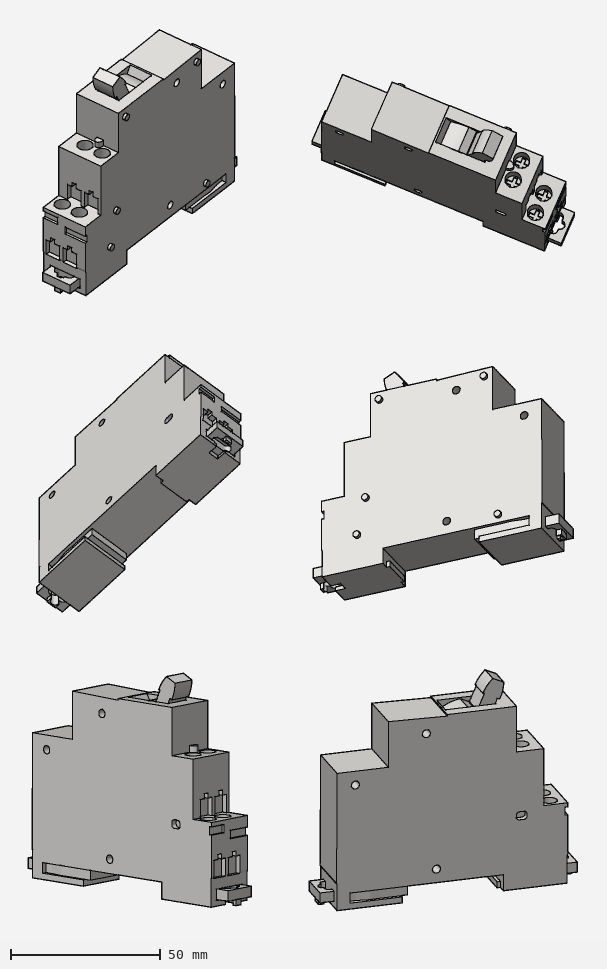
import cadquery as cq


width = 17.8
shelf_top = 49.35
roof_top = 65.7
roof_drop = 0.5
roof_seam_y = 1.5
tower_back_y = 22.3
tower_front_y = -22.8
back_y = 40.3
back_bulge_y = 40.5
upper_face_y = -32.4
lower_shelf_top = 28.9
lower_face_y = -40.8
base_face_y = -40.6
ledge_bottom = 9.6
ledge_top = 10.6
rail_roof = 5.8
rail_front_y = -18.2
rail_back_y = 17.3

clip_end_y = 45.3
clip_x = 3.3
clip_width = 11.6
clip_center_x = clip_x + clip_width / 2
clip_bottom = 2.2
clip_height = rail_roof - clip_bottom
clip_inner_length = 10.9
slider_inset = 1.2
slider_end_y = 15.1

terminal_pitch = 7.2
upper_screw_x = 6.5
upper_screw_y = -26.4
lower_screw_x = 4.0
lower_screw_y = -35.6

coupling_z = 26.3

window_x = 4.35
window_width = 9.15
window_front_y = -17.0
lever_gap = 0.4
lever_back_y = -10.2
lever_front_y = window_front_y + lever_gap


def box(x, y, z, dx, dy, dz):
    """Box from its lowest corner and its sizes."""
    return cq.Workplane("XY").box(dx, dy, dz, centered=False).translate((x, y, z))


def side_plane(x):
    """Sketch plane at a given X, with local axes Y and Z and normal +X."""
    return cq.Workplane("YZ", origin=(x, 0, 0))


def housing():
    """Stepped side outline extruded across the full housing width."""
    outline = [
        (back_y, 0),
        (back_y, ledge_bottom),
        (back_bulge_y, ledge_bottom),
        (back_y, shelf_top),
        (tower_back_y, shelf_top),
        (tower_back_y, roof_top),
        (roof_seam_y, roof_top - roof_drop),
        (roof_seam_y, roof_top),
        (tower_front_y, roof_top),
        (tower_front_y, shelf_top),
        (upper_face_y, shelf_top),
        (upper_face_y, lower_shelf_top),
        (lower_face_y, lower_shelf_top),
        (lower_face_y, ledge_top),
        (base_face_y, ledge_bottom),
        (base_face_y, 0),
        (rail_front_y, 0),
        (rail_front_y, rail_roof),
        (rail_back_y, rail_roof),
        (rail_back_y, 0),
    ]
    return side_plane(0).polyline(outline).close().extrude(width)


def clip_slider_recess():
    """Side recess along the rear foot, stepping in where the clip slider narrows."""
    recess_end_y = 35.7
    neck_end_y = 33.1
    shoulder_y = 28.25
    slider_full_y = 25.0
    neck_depth = 1.7
    shoulder_depth = 1.0
    plan = [
        (0, recess_end_y),
        (neck_depth, recess_end_y),
        (neck_depth, neck_end_y),
        (shoulder_depth, shoulder_y),
        (slider_inset, slider_full_y),
        (slider_inset, rail_back_y),
        (0, rail_back_y),
    ]
    left = cq.Workplane("XY", origin=(0, 0, clip_bottom)).polyline(plan).close().extrude(clip_height)
    right = left.mirror("YZ").translate((width, 0, 0))
    return left.union(right)


def slider_end():
    """End of the rear clip slider, reaching past the foot into the rail channel."""
    overlap = 0.9
    length = rail_back_y + overlap - slider_end_y
    return box(slider_inset, slider_end_y, clip_bottom, width - 2 * slider_inset, length, clip_height)


def front_clip_window():
    """Opening in the base face around the front clip and its finger tab."""
    depth = 3.6
    side_gap = 0.5
    floor_gap = 0.3
    step_width = 5.3
    step_height = 0.45
    tab_slot_width = 3.7
    opening = box(
        clip_x - side_gap, base_face_y, clip_bottom - floor_gap,
        clip_width + 2 * side_gap, depth, clip_height + floor_gap,
    )
    step_x = clip_center_x - step_width / 2
    step_z = clip_bottom - floor_gap - step_height
    step = box(step_x, base_face_y, step_z, step_width, depth, step_height)
    tab_slot = box(clip_center_x - tab_slot_width / 2, base_face_y, 0, tab_slot_width, depth, clip_bottom)
    return opening.union(step).union(tab_slot)


def clip(tab_start_y, tab_end_y, tab_width):
    """Rear-facing rail clip with a keyed opening and a finger tab below."""
    slot_y = 41.0
    slot_length = 7.6
    slot_width = 2.9
    key_radius = 1.5
    key_y = 42.5
    inner_y = back_y - clip_inner_length
    bar = box(clip_x, inner_y, clip_bottom, clip_width, clip_end_y - inner_y, clip_height)
    tab_x = clip_center_x - tab_width / 2
    tab = box(tab_x, tab_start_y, 0, tab_width, tab_end_y - tab_start_y, clip_bottom)
    base = cq.Workplane("XY")
    slot = base.center(clip_center_x, slot_y).slot2D(slot_length, slot_width).extrude(rail_roof)
    key = base.center(clip_center_x, key_y).circle(key_radius).extrude(rail_roof)
    return bar.union(tab).cut(slot).cut(key)


def front_hook():
    """Short lip of the front clip under the rail."""
    lip = 1.2
    return box(clip_x, rail_front_y, 0, clip_width, lip, clip_bottom)


def terminal_screw(x, y, top):
    """Round screw well with the cross slot of the screw sunk in its floor."""
    well_radius = 2.7
    well_depth = 5.4
    cross_length = 4.5
    cross_width = 1.3
    cross_depth = 0.9
    floor = cq.Workplane("XY", origin=(x, y, top - well_depth))
    well = floor.circle(well_radius).extrude(well_depth)
    for size in ((cross_length, cross_width), (cross_width, cross_length)):
        well = well.union(floor.rect(*size).extrude(-cross_depth))
    return well


def wire_entry(center_x, face_y, bottom):
    """Wire entry pocket with a narrow notch on top."""
    entry_width = 5.8
    entry_height = 6.25
    notch_width = 1.7
    notch_height = 1.7
    depth = 1.9
    pocket = box(center_x - entry_width / 2, face_y, bottom, entry_width, depth, entry_height)
    notch_z = bottom + entry_height
    return pocket.union(box(center_x - notch_width / 2, face_y, notch_z, notch_width, depth, notch_height))


def label_slots():
    """Two shallow slots in the lower face, open to the sides."""
    depth = 0.9
    height = 2.8
    left_length = 6.1
    left_z = 24.5
    right_length = 8.6
    right_z = 22.1
    left = box(0, lower_face_y, left_z, left_length, depth, height)
    return left.union(box(width - right_length, lower_face_y, right_z, right_length, depth, height))


def indicator_nub():
    """Round-nosed nub on the upper terminal shelf."""
    nub_width = 2.7
    nose_width = 1.5
    nub_height = 2.3
    center_x = 10.1
    edge_y = tower_front_y - 1.9
    nose_y = tower_front_y - 2.3
    flank_y = tower_front_y - 1.2
    root = nub_width / 2
    nose = nose_width / 2
    flank_bulge = 0.2
    flank = (root + nose) / 2 + flank_bulge
    return (
        cq.Workplane("XY", origin=(center_x, 0, shelf_top))
        .moveTo(-root, tower_front_y)
        .threePointArc((-flank, flank_y), (-nose, edge_y))
        .threePointArc((0, nose_y), (nose, edge_y))
        .threePointArc((flank, flank_y), (root, tower_front_y))
        .close()
        .extrude(nub_height)
    )


def toggle_window():
    """Opening in the roof; its floor is the rounded toggle drum."""
    back_edge = (0.8, roof_top)
    drum_start = (-0.8, 62.9)
    drum_middle = (-4.1, 64.6)
    drum_end = (-7.4, 65.3)
    lever_foot = (lever_back_y, 64.0)
    front_floor = (window_front_y, 64.0)
    front_edge = (window_front_y, roof_top)
    return (
        side_plane(window_x)
        .moveTo(*back_edge)
        .lineTo(*drum_start)
        .threePointArc(drum_middle, drum_end)
        .lineTo(*lever_foot)
        .lineTo(*front_floor)
        .lineTo(*front_edge)
        .close()
        .extrude(window_width)
    )


def toggle_lever():
    """Tilted lever with a curved finger face and a small lip on each side."""
    root_z = 63.4
    back_lip = (-13.0, 69.7)
    back_lip_tip = (-12.5, 69.9)
    back_middle = (-13.9, 72.4)
    tip_back = (-16.0, 74.8)
    tip_front = (-19.9, 73.0)
    front_middle = (-19.6, 70.2)
    front_lip_tip = (-18.4, 67.1)
    front_lip = (-17.6, 67.5)
    neck_front = (lever_front_y, 65.2)
    return (
        side_plane(window_x + lever_gap)
        .moveTo(lever_back_y, root_z)
        .lineTo(*back_lip)
        .lineTo(*back_lip_tip)
        .threePointArc(back_middle, tip_back)
        .lineTo(*tip_front)
        .threePointArc(front_middle, front_lip_tip)
        .lineTo(*front_lip)
        .lineTo(*neck_front)
        .lineTo(lever_front_y, root_z)
        .close()
        .extrude(window_width - 2 * lever_gap)
    )


def rivet_holes():
    """Through holes from side to side."""
    diameter = 2.8
    centers = [(8.9, 59.8), (33.9, 44.4), (5.3, 10.7)]
    return side_plane(0).pushPoints(centers).circle(diameter / 2).extrude(width)


def coupling_slot():
    """Blind rounded slot in the left side, opposite the coupling pin."""
    depth = 2.2
    length = 3.7
    height = 2.9
    corner = 1.1
    slot = side_plane(0).center(-24.6, coupling_z).rect(length, height).extrude(depth)
    return slot.edges("|X").fillet(corner)


def side_pins():
    """Short pins on the right side."""
    diameter = 2.35
    length = 1.1
    centers = [(19.3, 62.5), (-19.4, 62.5), (-24.4, coupling_z), (-27.5, 12.9), (24.45, 8.7)]
    return side_plane(width).pushPoints(centers).circle(diameter / 2).extrude(length)


result = housing()
result = result.cut(clip_slider_recess()).cut(front_clip_window())
result = result.union(slider_end()).union(front_hook())
result = result.union(clip(tab_start_y=42.1, tab_end_y=44.5, tab_width=3.7))
result = result.union(clip(tab_start_y=43.2, tab_end_y=44.7, tab_width=2.4).mirror("XZ"))

for i in range(2):
    shift = i * terminal_pitch
    result = result.cut(terminal_screw(upper_screw_x + shift, upper_screw_y, shelf_top))
    result = result.cut(terminal_screw(lower_screw_x + shift, lower_screw_y, lower_shelf_top))
    result = result.cut(wire_entry(upper_screw_x + shift, upper_face_y, lower_shelf_top))
    result = result.cut(wire_entry(lower_screw_x + shift, lower_face_y, ledge_bottom))

result = result.cut(label_slots()).union(indicator_nub())
result = result.cut(toggle_window()).union(toggle_lever())
result = result.cut(rivet_holes()).cut(coupling_slot()).union(side_pins())